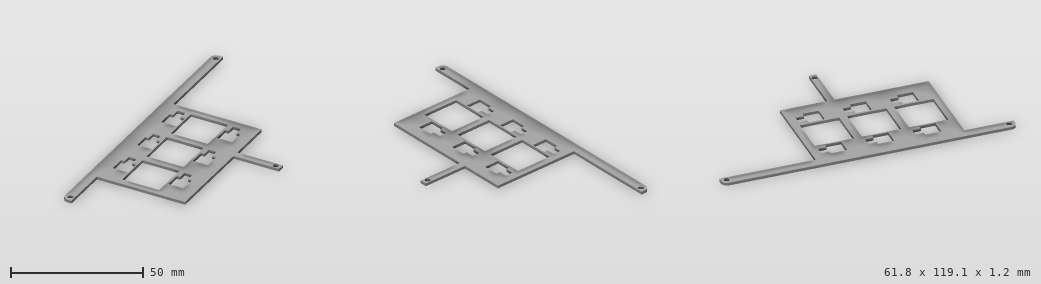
import cadquery as cq

THICKNESS = 1.2
PITCH = 19.05
OVERALL_X = 61.75
END_INSET = 2.38
CORNER_RADIUS = END_INSET
HOLE_DIAMETER = 2.25
HOLE_REACH = 3 * PITCH

SPINE_WIDTH = 4.07
SPINE_HOLE_Y = HOLE_REACH
SPINE_LENGTH = 2 * (SPINE_HOLE_Y + END_INSET)
LEFT_X = -OVERALL_X / 2
SPINE_RIGHT_X = LEFT_X + SPINE_WIDTH
SPINE_HOLE_X = LEFT_X + END_INSET

WINDOW_COUNT = 3
WINDOW_SIZE = 15.95
WINDOW_SHIFT_Y = -0.1
WINDOW_X = SPINE_HOLE_X + PITCH

ARM_WIDTH = 2.95
ARM_HOLE_X = SPINE_HOLE_X + HOLE_REACH

PANEL_WIDTH = 2 * PITCH
PANEL_HEIGHT = WINDOW_COUNT * PITCH + ARM_WIDTH
PANEL_Y = -PITCH / 2

SLOT_BODY_SIZE = 6.52
SLOT_NECK_WIDTH = 3.3
SLOT_NECK_LENGTH = 3.52
SLOT_NECK_SHIFT = -0.12
SLOT_SPACING = 24.0
SLOT_PAIR_SHIFT_X = 0.17
SLOT_PAIR_X = WINDOW_X + SLOT_PAIR_SHIFT_X
SLOT_STEP_RISE = 3.95


def plate(x_min, x_max, size_y, center_y):
    """Flat rectangular plate standing on Z = 0."""
    return (
        cq.Workplane("XY")
        .center((x_min + x_max) / 2, center_y)
        .rect(x_max - x_min, size_y)
        .extrude(THICKNESS)
    )


def make_spine():
    strip = plate(LEFT_X, SPINE_RIGHT_X, SPINE_LENGTH, 0)
    return strip.edges("|Z and <X").fillet(CORNER_RADIUS)


def make_panel():
    return plate(SPINE_RIGHT_X, SPINE_RIGHT_X + PANEL_WIDTH, PANEL_HEIGHT, PANEL_Y)


def make_arm():
    return plate(SPINE_RIGHT_X + PANEL_WIDTH, LEFT_X + OVERALL_X, ARM_WIDTH, 0)


def window_cutter(center_y):
    half = WINDOW_SIZE / 2
    return plate(WINDOW_X - half, WINDOW_X + half, WINDOW_SIZE, center_y)


def slot_cutter(center_x, step_y):
    """Square body below step_y with a narrower neck above it."""
    half_body = SLOT_BODY_SIZE / 2
    half_neck = SLOT_NECK_WIDTH / 2
    body = plate(center_x - half_body, center_x + half_body, SLOT_BODY_SIZE, step_y - half_body)
    neck_y = step_y + SLOT_NECK_LENGTH / 2
    neck_x = center_x + SLOT_NECK_SHIFT
    neck = plate(neck_x - half_neck, neck_x + half_neck, SLOT_NECK_LENGTH, neck_y)
    return body.union(neck)


def hole_cutters():
    centers = [(SPINE_HOLE_X, SPINE_HOLE_Y), (SPINE_HOLE_X, -SPINE_HOLE_Y), (ARM_HOLE_X, 0)]
    return cq.Workplane("XY").pushPoints(centers).circle(HOLE_DIAMETER / 2).extrude(THICKNESS)


result = make_spine().union(make_panel()).union(make_arm()).cut(hole_cutters())

for row in range(WINDOW_COUNT):
    row_y = PANEL_Y + (row - (WINDOW_COUNT - 1) / 2) * PITCH
    result = result.cut(window_cutter(row_y + WINDOW_SHIFT_Y))
    for side in (-1, 1):
        slot_x = SLOT_PAIR_X + side * SLOT_SPACING / 2
        result = result.cut(slot_cutter(slot_x, row_y + SLOT_STEP_RISE))